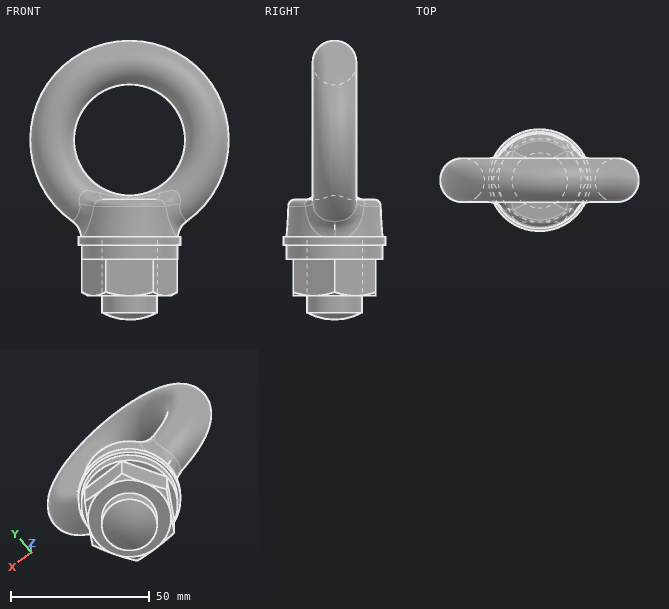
import cadquery as cq
import math

total_height = 101.0
wire_radius = 8.0
ring_radius = 28.0
shank_radius = 10.0
shank_dome_height = 2.6
nut_bottom_z = 8.7
nut_height = 13.1
nut_flats = 30.0
nut_chamfer_angle = 30.0
spring_washer_radius = 17.4
spring_washer_height = 5.2
flat_washer_radius = 18.5
flat_washer_height = 3.1
hub_base_radius = 17.5
hub_top_radius = 16.7
hub_height = 13.4
hub_edge_fillet = 2.5
skirt_height = 8.1
ring_blend_radius = 7.6

spring_washer_z = nut_bottom_z + nut_height
flat_washer_z = spring_washer_z + spring_washer_height
hub_z = flat_washer_z + flat_washer_height
ring_centre_z = total_height - ring_radius - wire_radius


def make_hub():
    """Tapered round hub with a rounded top edge, carried on below its base by a skirt of the same taper."""
    taper = (hub_base_radius - hub_top_radius) / hub_height
    skirt_radius = hub_base_radius + taper * skirt_height
    hub = (
        cq.Workplane("XZ")
        .moveTo(0, hub_z - skirt_height)
        .lineTo(skirt_radius, hub_z - skirt_height)
        .lineTo(hub_top_radius, hub_z + hub_height)
        .lineTo(0, hub_z + hub_height)
        .close()
        .revolve(360, (0, 0), (0, 1))
    )
    return hub.faces(">Z").edges().fillet(hub_edge_fillet)


def make_ring():
    """Ring of round bar standing in the XZ plane."""
    torus = cq.Solid.makeTorus(
        ring_radius, wire_radius, cq.Vector(0, 0, ring_centre_z), cq.Vector(0, 1, 0)
    )
    return cq.Workplane(obj=torus)


def make_shank():
    """Round shank with a domed lower end."""
    half_radius = shank_radius / 2
    dome_radius = (shank_radius**2 + shank_dome_height**2) / (2 * shank_dome_height)
    half_drop = dome_radius - math.sqrt(dome_radius**2 - half_radius**2)
    return (
        cq.Workplane("XZ")
        .threePointArc((half_radius, half_drop), (shank_radius, shank_dome_height))
        .lineTo(shank_radius, hub_z)
        .lineTo(0, hub_z)
        .close()
        .revolve(360, (0, 0), (0, 1))
    )


def make_eye_bolt():
    """Ring blended into the hub, with the skirt trimmed off level and the shank below."""
    head = make_hub().union(make_ring())
    seam_edges = [edge for edge in head.edges().vals() if edge.geomType() == "BSPLINE"]
    blended_head = cq.Workplane(obj=head.val().fillet(ring_blend_radius, seam_edges))
    above_hub_base = cq.Workplane("XY", origin=(0, 0, hub_z)).box(
        total_height, total_height, total_height, centered=(True, True, False)
    )
    return blended_head.intersect(above_hub_base).union(make_shank())


def make_washer(bottom_z, outer_radius, height):
    """Plain ring that fits round the shank."""
    return (
        cq.Workplane("XY", origin=(0, 0, bottom_z))
        .circle(outer_radius)
        .circle(shank_radius)
        .extrude(height)
    )


def make_nut():
    """Hexagon nut with corners on the X axis and a conical chamfer on the lower end."""
    corner_radius = nut_flats / 2 / math.cos(math.radians(30))
    hexagon = (
        cq.Workplane("XY", origin=(0, 0, nut_bottom_z))
        .polygon(6, 2 * corner_radius)
        .circle(shank_radius)
        .extrude(nut_height)
    )
    chamfer_width = corner_radius - nut_flats / 2
    chamfer_height = chamfer_width * math.tan(math.radians(nut_chamfer_angle))
    envelope = (
        cq.Workplane("XZ")
        .moveTo(0, nut_bottom_z)
        .lineTo(nut_flats / 2, nut_bottom_z)
        .lineTo(corner_radius, nut_bottom_z + chamfer_height)
        .lineTo(corner_radius, spring_washer_z)
        .lineTo(0, spring_washer_z)
        .close()
        .revolve(360, (0, 0), (0, 1))
    )
    return hexagon.intersect(envelope)


eye_bolt = make_eye_bolt()
flat_washer = make_washer(flat_washer_z, flat_washer_radius, flat_washer_height)
spring_washer = make_washer(spring_washer_z, spring_washer_radius, spring_washer_height)
nut = make_nut()

result = cq.Compound.makeCompound(
    [eye_bolt.val(), flat_washer.val(), spring_washer.val(), nut.val()]
)